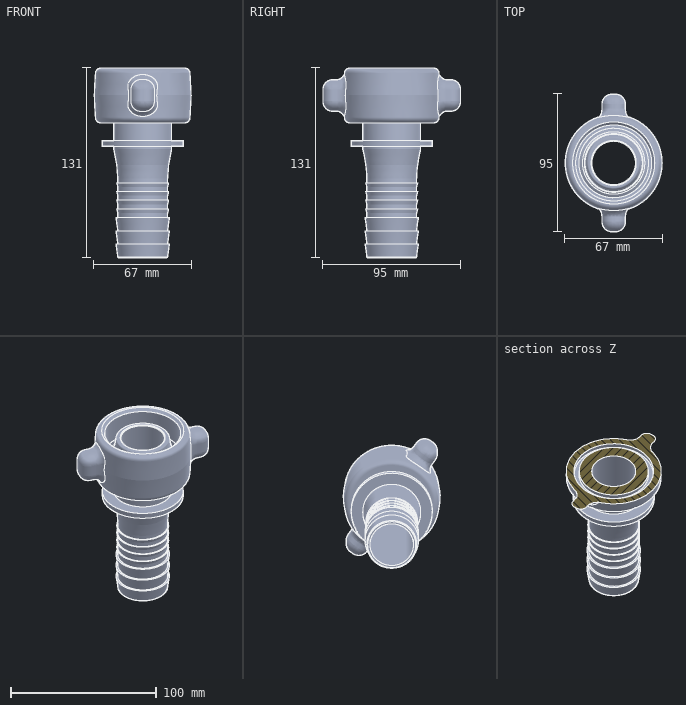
import cadquery as cq
import math

BORE_R = 30.0 / 2
BORE_CHAMFER = 0.5
NECK_R = 40.0 / 2
NECK_BOTTOM_Z = 74.9
SHANK_R = 34.5 / 2
SHOULDER_R = 18.0
SHOULDER_Z = 64.0
SHANK_TOP_Z = 54.6

BARB_R = 18.5
BARB_PITCH = 9.0
BARB_COUNT = 3
LOWEST_BARB_TOP_Z = 9.7
TIP_CHAMFER = 0.7

RIB_R = 18.0
RIB_HEIGHT = 3.0
RIB_PITCH = 6.0
RIB_COUNT = 4

NIPPLE_TOP_Z = 125.2
NIPPLE_CONE_ANGLE = 10
NIPPLE_BASE_R = 43.0 / 2
NIPPLE_TOP_R = 18.3
NIPPLE_ROUND = 1.6
COLLAR_R = 48.0 / 2
COLLAR_SLOPE = 30

GROOVE_LOWER_R = 40.5 / 2
GROOVE_WIDTH = 2.6
GROOVE_DEPTH = 2.6

CLAMP_RING_R = 56.0 / 2
CLAMP_RING_BOTTOM_Z = 76.9
CLAMP_RING_HEIGHT = 4.0

NUT_TOP_Z = 131
NUT_HEIGHT = 38
NUT_MID_R = 67.0 / 2
NUT_END_R = 32.5
NUT_ROUND = 3.9
NUT_BORE_R = 52.4 / 2
NUT_MOUTH_CHAMFER = 2.1
NUT_RELIEF_R = 27.2
NUT_RELIEF_TOP_Z = 111.1
NUT_FLOOR_THICKNESS = 6.5
NUT_MID_Z = NUT_TOP_Z - NUT_HEIGHT / 2
NUT_BOTTOM_Z = NUT_TOP_Z - NUT_HEIGHT
NUT_FLOOR_Z = NUT_BOTTOM_Z + NUT_FLOOR_THICKNESS

LUG_TIP_Y = 95.0 / 2
LUG_NECK_Y = 37.2
LUG_ROOT_Y = 30.9
LUG_HALF_WIDTH = 8.1
LUG_HALF_HEIGHT = 11.0
LUG_CORNER = 7.1
LUG_ROUND = 7.0
FLARE_HEIGHT = 6.7
ROOT_DRAFT = 0.7
FLARE_WIDTH = 2.2
FLARE_STEPS = 6


def barbed_profile():
    """Points of the barbed and ribbed outside, from the lower end upwards."""
    points = [(SHANK_R - TIP_CHAMFER, 0), (SHANK_R, TIP_CHAMFER)]
    for i in range(BARB_COUNT):
        barb_top = LOWEST_BARB_TOP_Z + i * BARB_PITCH
        points += [(BARB_R, barb_top), (SHANK_R, barb_top)]
    highest_barb_top = LOWEST_BARB_TOP_Z + (BARB_COUNT - 1) * BARB_PITCH
    for i in range(RIB_COUNT):
        rib_top = highest_barb_top + (i + 1) * RIB_PITCH
        points += [(SHANK_R, rib_top - RIB_HEIGHT), (RIB_R, rib_top), (SHANK_R, rib_top)]
    return points


def nipple_z(radius):
    """Height at which the sealing cone has the given radius."""
    return NIPPLE_TOP_Z - (radius - NIPPLE_TOP_R) / math.tan(math.radians(NIPPLE_CONE_ANGLE))


GROOVE_BOTTOM_Z = nipple_z(GROOVE_LOWER_R)
GROOVE_FLOOR_R = GROOVE_LOWER_R - GROOVE_DEPTH


def make_tail():
    cone_base_z = nipple_z(NIPPLE_BASE_R)
    collar_drop = (COLLAR_R - NIPPLE_BASE_R) * math.tan(math.radians(COLLAR_SLOPE))
    collar_top_z = cone_base_z - collar_drop
    outline = [(BORE_R, 0)] + barbed_profile() + [
        (SHANK_R, SHANK_TOP_Z),
        (SHOULDER_R, SHOULDER_Z),
        (NECK_R, NECK_BOTTOM_Z),
        (NECK_R, NUT_FLOOR_Z),
        (COLLAR_R, NUT_FLOOR_Z),
        (COLLAR_R, collar_top_z),
        (NIPPLE_BASE_R, cone_base_z),
        (NIPPLE_TOP_R, NIPPLE_TOP_Z),
        (BORE_R, NIPPLE_TOP_Z),
    ]
    tail = cq.Workplane("XZ").polyline(outline).close().revolve(360, (0, 0), (0, 1))
    tail = tail.faces(">Z").edges(cq.selectors.RadiusNthSelector(-1)).fillet(NIPPLE_ROUND)
    tail = tail.faces(">Z").edges(cq.selectors.RadiusNthSelector(0)).chamfer(BORE_CHAMFER)
    groove = (
        cq.Workplane("XY", origin=(0, 0, GROOVE_BOTTOM_Z))
        .circle(COLLAR_R)
        .circle(GROOVE_FLOOR_R)
        .extrude(GROOVE_WIDTH)
    )
    return tail.cut(groove)


def make_o_ring():
    """Ring of round section that fills the groove width and rests on its floor."""
    section_r = GROOVE_WIDTH / 2
    return cq.Solid.makeTorus(
        GROOVE_FLOOR_R + section_r, section_r, cq.Vector(0, 0, GROOVE_BOTTOM_Z + section_r)
    )


def make_clamp_ring():
    return (
        cq.Workplane("XY", origin=(0, 0, CLAMP_RING_BOTTOM_Z))
        .circle(CLAMP_RING_R)
        .circle(NECK_R)
        .extrude(CLAMP_RING_HEIGHT)
    )


def lug_section(y, flare_width, flare_height):
    """Rounded rectangle across the lug; a flare also stretches its corners."""
    half_width = LUG_HALF_WIDTH + flare_width
    half_height = LUG_HALF_HEIGHT + flare_height
    corner_w = LUG_CORNER + flare_width
    corner_h = LUG_CORNER + flare_height
    x = half_width - corner_w
    z = half_height - corner_h
    mid_w = x + corner_w * math.sqrt(0.5)
    mid_h = z + corner_h * math.sqrt(0.5)
    return (
        cq.Workplane("XZ", origin=(0, y, NUT_MID_Z))
        .moveTo(half_width, -z)
        .lineTo(half_width, z)
        .threePointArc((mid_w, mid_h), (x, half_height))
        .lineTo(-x, half_height)
        .threePointArc((-mid_w, mid_h), (-half_width, z))
        .lineTo(-half_width, -z)
        .threePointArc((-mid_w, -mid_h), (-x, -half_height))
        .lineTo(x, -half_height)
        .threePointArc((mid_w, -mid_h), (half_width, -z))
        .close()
    )


def make_lug():
    """Lug on the -Y side: a round-nosed straight part and a root whose flare steepens towards the nut."""
    straight = lug_section(-LUG_NECK_Y, 0, 0).extrude(LUG_TIP_Y - LUG_NECK_Y)
    straight = straight.faces("<Y").edges().fillet(LUG_ROUND)
    wires = []
    for i in range(FLARE_STEPS + 1):
        t = i / FLARE_STEPS
        y = LUG_NECK_Y - t * (LUG_NECK_Y - LUG_ROOT_Y)
        flare_width = ROOT_DRAFT * t + FLARE_WIDTH * t ** 4
        flare_height = FLARE_HEIGHT * t ** 2
        wires.append(lug_section(-y, flare_width, flare_height).wire().val())
    root = cq.Workplane(cq.Solid.makeLoft(wires))
    return straight.union(root)


def make_nut():
    barrel = (
        cq.Workplane("XZ")
        .polyline([
            (0, NUT_BOTTOM_Z),
            (NUT_END_R, NUT_BOTTOM_Z),
            (NUT_MID_R, NUT_MID_Z),
            (NUT_END_R, NUT_TOP_Z),
            (0, NUT_TOP_Z),
        ])
        .close()
        .revolve(360, (0, 0), (0, 1))
    )
    barrel = barrel.faces("<Z or >Z").edges().fillet(NUT_ROUND)
    lug = make_lug()
    cavity = (
        cq.Workplane("XZ")
        .polyline([
            (0, NUT_BOTTOM_Z),
            (NECK_R, NUT_BOTTOM_Z),
            (NECK_R, NUT_FLOOR_Z),
            (NUT_RELIEF_R, NUT_FLOOR_Z),
            (NUT_RELIEF_R, NUT_RELIEF_TOP_Z),
            (NUT_BORE_R, NUT_RELIEF_TOP_Z),
            (NUT_BORE_R, NUT_TOP_Z - NUT_MOUTH_CHAMFER),
            (NUT_BORE_R + NUT_MOUTH_CHAMFER, NUT_TOP_Z),
            (0, NUT_TOP_Z),
        ])
        .close()
        .revolve(360, (0, 0), (0, 1))
    )
    return barrel.union(lug).union(lug.mirror("XZ")).cut(cavity)


tail = make_tail()
o_ring = make_o_ring()
clamp_ring = make_clamp_ring()
nut = make_nut()

result = cq.Compound.makeCompound([tail.val(), o_ring, clamp_ring.val(), nut.val()])